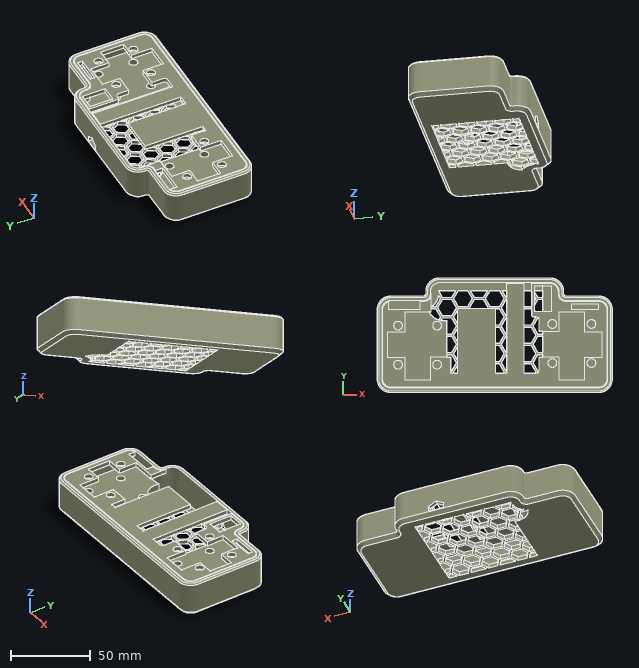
import cadquery as cq
import math

length = 147.2
width = 71.8
height = 24.0
wall = 3.0
floor_thickness = 3.0
bump_half_width = 43.1
shoulder_y = 24.6
corner_radius = 8.5
shoulder_radius = 1.5
top_chamfer = 1.0
bottom_chamfer = 2.5

block_top = 13.0
left_block_x = -29.9
right_block_x = 29.9
recess_x = -42.1
recess_y = 9.1
recess_radius = 10.0
grille_inset = 8.1
cell_size = 10.0
cell_rib = 1.5

vent_size = 10.0
vent_x = 12.5
vent_peak_z = 9.5

deck_thickness = 3.1
deck_gap = 0.5
deck_bottom = height - deck_thickness

cross_x = 48.1
cross_arm = 16.0
cross_outer = 67.3
cross_front = -28.1
cross_rear = 14.6
outer_arm_front = -14.0
inner_arm_front = -13.7
right_inner_arm_rear = 2.5

window_left = -27.4
window_right = 27.7
window_front = -23.7
window_radius = 1.9
lobe_edge_x = -39.7
tab_left = 23.1
tab_front = 11.5
tab_radius = 1.0
tongue_left = -23.4
tongue_right = 0.6
tongue_rear = 16.8
strip_left = 7.4
strip_right = 18.4

port_left, port_right = 25.0, 35.6
port_front, port_rear = 15.0, 30.9
lobe_opening_front = 16.2
slot_left, slot_right = 48.0, 64.9
slot_rear = 19.5
notch_left, notch_right = -66.4, -46.7

hole_diameter = 5.5
hole_spacing = 24.5
left_holes_center = (-48.3, -6.2)
right_holes_center = (48.3, -5.2)

rear_y = width / 2
front_y = -width / 2


def prism(x0, x1, y0, y1, z0, z1):
    """Rectangular block between two corners."""
    return cq.Workplane("XY").box(x1 - x0, y1 - y0, z1 - z0, centered=False).translate((x0, y0, z0))


def round_upright_edges(body, points, radius):
    """Fillet the vertical edges that stand on the given points."""
    reach = 0.07
    for x, y in points:
        near_point = cq.selectors.BoxSelector(
            (x - reach, y - reach, -height), (x + reach, y + reach, 2 * height)
        )
        body = body.edges("|Z").edges(near_point).fillet(radius)
    return body


def case_outline(inset, z0, z1):
    """Solid with the case outline moved inward by inset."""
    end = length / 2 - inset
    bump = bump_half_width - inset
    front = front_y + inset
    shoulder = shoulder_y - inset
    rear = rear_y - inset
    right_side = [(end, front), (end, shoulder), (bump, shoulder), (bump, rear)]
    left_side = [(-x, y) for x, y in reversed(right_side)]
    body = cq.Workplane("XY").workplane(offset=z0).polyline(right_side + left_side).close().extrude(z1 - z0)

    inside_corners = [(bump, shoulder), (-bump, shoulder)]
    outside_corners = [point for point in right_side + left_side if point not in inside_corners]
    body = round_upright_edges(body, inside_corners, shoulder_radius + inset)
    return round_upright_edges(body, outside_corners, corner_radius - inset)


def screw_holes(z0, z1):
    """Two square groups of four screw holes."""
    holes = cq.Workplane("XY")
    for center in (left_holes_center, right_holes_center):
        group = cq.Workplane("XY").workplane(offset=z0).center(*center)
        group = group.rarray(hole_spacing, hole_spacing, 2, 2).circle(hole_diameter / 2).extrude(z1 - z0)
        holes = holes.add(group)
    return holes.combine()


def space_between_blocks(z0, z1):
    """Room between the end blocks, with the rounded recess behind the left one."""
    room = prism(left_block_x, right_block_x, front_y, rear_y, z0, z1)
    recess = prism(recess_x, left_block_x, recess_y, rear_y, z0, z1)
    return room.union(round_upright_edges(recess, [(recess_x, recess_y)], recess_radius))


def grille_cells(z0, z1):
    """Honeycomb cells, ended by the floor border and by the end blocks."""
    pitch = cell_size + cell_rib
    corner_ratio = math.cos(math.radians(30))
    column_step = pitch * corner_ratio
    columns = math.ceil(bump_half_width / column_step)
    rows = math.ceil(rear_y / pitch)
    centers = []
    for column in range(-columns, columns + 1):
        stagger = pitch / 2 if column % 2 else 0
        for row in range(-rows, rows + 1):
            centers.append((column * column_step, row * pitch + stagger))
    cells = cq.Workplane("XY").workplane(offset=z0).pushPoints(centers)
    cells = cells.polygon(6, cell_size / corner_ratio).extrude(z1 - z0)
    return cells.intersect(case_outline(grille_inset, z0, z1)).intersect(space_between_blocks(z0, z1))


def rear_vent():
    """Upper part of a hexagon with its corner up, through the rear wall along Y."""
    diameter = vent_size / math.cos(math.radians(30))
    center_z = vent_peak_z - diameter / 2
    vent = cq.Workplane("XZ", origin=(vent_x, rear_y, center_z))
    vent = vent.transformed(rotate=(0, 0, 90)).polygon(6, diameter).extrude(1.5 * wall)
    above_floor = prism(vent_x - diameter, vent_x + diameter, front_y, rear_y, floor_thickness, height)
    return vent.intersect(above_floor)


def make_case():
    case = case_outline(0, 0, height)
    case = case.faces(">Z").chamfer(top_chamfer)
    case = case.faces("<Z").chamfer(bottom_chamfer)
    upper_room = case_outline(wall, block_top, height)
    lower_room = case_outline(wall, floor_thickness, block_top)
    lower_room = lower_room.intersect(space_between_blocks(floor_thickness, block_top))
    case = case.cut(upper_room).cut(lower_room)
    case = case.cut(grille_cells(0, floor_thickness)).cut(rear_vent())
    return case.cut(screw_holes(floor_thickness, block_top))


def deck_opening(x0, x1, y0, y1):
    """Rectangular block through the full deck thickness."""
    return prism(x0, x1, y0, y1, deck_bottom, height)


def outer_crosses():
    """Upright and outer arm of both crosses."""
    arm_rear = outer_arm_front + cross_arm
    openings = deck_opening(-cross_outer, -cross_x, outer_arm_front, arm_rear)
    openings = openings.union(deck_opening(cross_x, cross_outer, outer_arm_front, arm_rear))
    for center in (-cross_x, cross_x):
        upright = deck_opening(center - cross_arm / 2, center + cross_arm / 2, cross_front, cross_rear)
        openings = openings.union(upright)
    return openings


def middle_window():
    """Opening between the crosses, less the tongue and the strip."""
    window = deck_opening(window_left, window_right, window_front, tab_front)
    right_corners = [(window_right, window_front), (window_right, tab_front)]
    window = round_upright_edges(window, right_corners, window_radius)
    window = window.union(deck_opening(lobe_edge_x, tab_left, inner_arm_front, rear_y))
    window = round_upright_edges(window, [(tab_left, tab_front)], tab_radius)

    left_inner_arm = deck_opening(-cross_x, window_left, inner_arm_front, cross_rear)
    right_inner_arm = deck_opening(tab_left, cross_x, inner_arm_front, right_inner_arm_rear)
    window = window.union(left_inner_arm).union(right_inner_arm)

    tongue = deck_opening(tongue_left, tongue_right, window_front, tongue_rear)
    strip = deck_opening(strip_left, strip_right, window_front, rear_y)
    return window.cut(tongue).cut(strip)


def make_deck():
    deck = case_outline(wall + deck_gap, deck_bottom, height)
    deck = deck.cut(outer_crosses()).cut(middle_window())
    deck = deck.cut(deck_opening(port_left, port_right, port_front, port_rear))
    deck = deck.cut(deck_opening(slot_left, slot_right, lobe_opening_front, slot_rear))
    deck = deck.cut(deck_opening(notch_left, notch_right, lobe_opening_front, shoulder_y))
    return deck.cut(screw_holes(deck_bottom, height))


case = make_case()
deck = make_deck()
result = cq.Compound.makeCompound([case.val(), deck.val()])